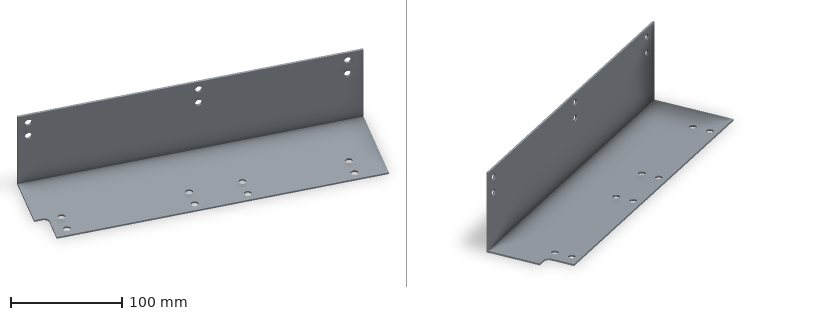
import cadquery as cq

length = 325.0
leg = 82.0
thickness = 2.0

base_hole_diameter = 6.8
base_hole_edge_distances = (8.5, 25.7)
base_hole_rows = (25.0, 145.0, 195.0, 295.0)

wall_hole_diameter = 6.5
wall_hole_edge_distances = (9.0, 25.0)
wall_hole_rows = (10.0, 170.0, 310.0)

notch_width = 28.0
notch_length = 13.0
notch_radius = 5.0


def make_angle():
    """L section with its outer corner on the Y axis, running from y = 0 to y = length."""
    base = cq.Workplane("XY").box(leg, length, thickness, centered=False)
    wall = cq.Workplane("XY").box(thickness, length, leg, centered=False)
    return base.union(wall)


def make_notch():
    """Cutter for the front free corner of the base."""
    return (
        cq.Workplane("XY")
        .box(notch_width, notch_length, thickness, centered=False)
        .translate((leg - notch_width, 0, 0))
        .edges("|Z and <X and >Y")
        .fillet(notch_radius)
    )


def make_base_holes():
    """Vertical cutters through the base."""
    points = [(leg - edge, row) for edge in base_hole_edge_distances for row in base_hole_rows]
    return cq.Workplane("XY").pushPoints(points).circle(base_hole_diameter / 2).extrude(thickness)


def make_wall_holes():
    """Cutters along X through the wall."""
    points = [(row, leg - edge) for edge in wall_hole_edge_distances for row in wall_hole_rows]
    return cq.Workplane("YZ").pushPoints(points).circle(wall_hole_diameter / 2).extrude(thickness)


result = make_angle().cut(make_notch()).cut(make_base_holes()).cut(make_wall_holes())